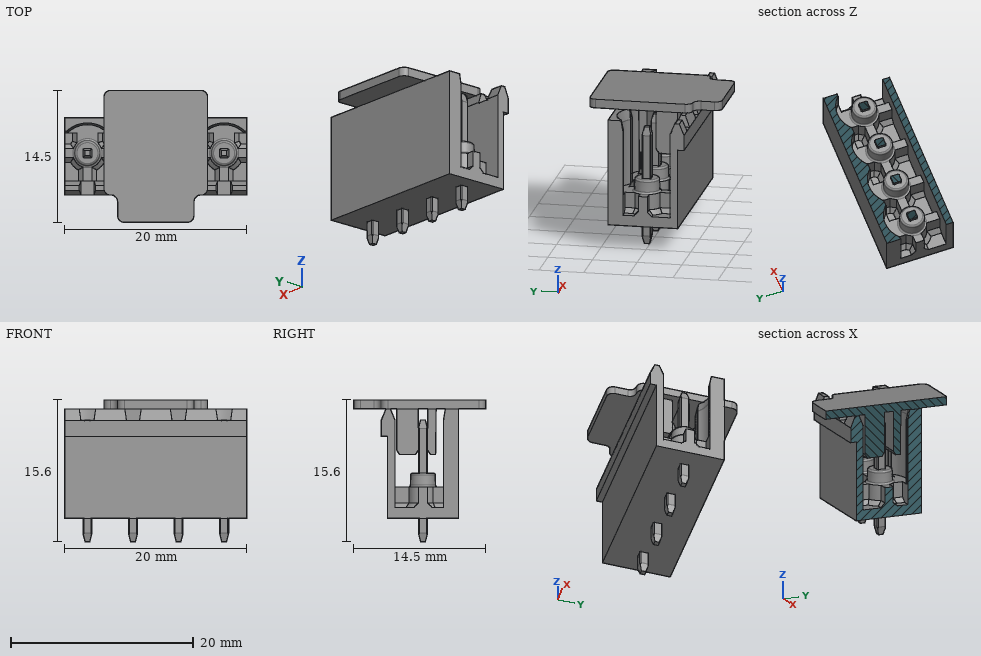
import cadquery as cq
import math

PIN_COUNT = 4
PITCH = 5.0
PIN_XS = [(i - (PIN_COUNT - 1) / 2) * PITCH for i in range(PIN_COUNT)]

LENGTH = PIN_COUNT * PITCH
HEIGHT = 12.0
HALF_DEPTH = 3.9
BACK_INNER_Y = 2.25
FRONT_INNER_Y = -3.05
FLOOR_Z = 1.2

LEAD_IN = 0.2
LEAD_IN_DEPTH = 1.2

HOOK_Y = -4.6
HOOK_BOTTOM_Z = 9.0
HOOK_BEVEL_Z = HEIGHT - 1.28
HOOK_TOP_BACK_Y = -3.55
HOOK_TOP_FRONT_Y = -4.08
SLOT_BOTTOM_WIDTH = 1.42
SLOT_TOP_WIDTH = 1.8

POST_RADIUS = 1.6
POST_TOP_Z = 3.45
SKIRT = 0.5
RIB_WIDTH = 1.0
BACK_RIB_WIDTH = 2.28
COLLAR_BASE_RADIUS = 1.4
COLLAR_RADIUS = 1.35
COLLAR_TOP_Z = 4.95
COLLAR_ROUND = 0.2

RECESS_RADIUS = 3.12
RECESS_WIDTH = 4.2

PIN_WIDTH = 1.02
PIN_CORNER = 0.12
PIN_TIP_WIDTH = 0.55
PIN_TIP_LENGTH = 0.95
PIN_TOP_Z = 10.8
PIN_BOTTOM_Z = -2.58

PLATE_THICKNESS = 1.0
PLATE_HALF_WIDTH = 5.7
PLATE_BACK_Y = 6.9
TAB_HALF_WIDTH = 4.2
TAB_FRONT_Y = -7.6
PLATE_CORNER = (PLATE_HALF_WIDTH - TAB_HALF_WIDTH) / 2
SHOULDER_Y = HOOK_Y
RAIL_LENGTH = 2 * PITCH
RAIL_BOTTOM_Z = 7.0
RAIL_INNER_Y = PIN_WIDTH / 2
FRONT_RAIL_Y = -2.88
BACK_RAIL_TOP_Y = 1.45
BACK_RAIL_BOTTOM_Y = 1.4
RAIL_BEVEL_WIDTH = 0.3
RAIL_BEVEL_HEIGHT = 0.48


def extrude_along_x(outline, length, center_x=0.0):
    """Prism with a (y, z) outline, centred at center_x."""
    plane = cq.Workplane("YZ", origin=(center_x - length / 2, 0, 0))
    return plane.polyline(outline).close().extrude(length)


def extrude_along_y(outline, center_x, y_min, y_max):
    """Prism with an (x, z) outline around center_x, running from y_min to y_max."""
    plane = cq.Workplane("XZ", origin=(center_x, y_max, 0))
    return plane.polyline(outline).close().extrude(y_max - y_min)


def make_trough():
    lead_in_z = HEIGHT - LEAD_IN_DEPTH
    outline = [
        (HALF_DEPTH, 0),
        (HALF_DEPTH, HEIGHT),
        (BACK_INNER_Y + LEAD_IN, HEIGHT),
        (BACK_INNER_Y, lead_in_z),
        (BACK_INNER_Y, FLOOR_Z),
        (FRONT_INNER_Y, FLOOR_Z),
        (FRONT_INNER_Y, lead_in_z),
        (HOOK_TOP_BACK_Y, HEIGHT),
        (HOOK_TOP_FRONT_Y, HEIGHT),
        (HOOK_Y, HOOK_BEVEL_Z),
        (HOOK_Y, HOOK_BOTTOM_Z),
        (-HALF_DEPTH, HOOK_BOTTOM_Z),
        (-HALF_DEPTH, 0),
    ]
    return extrude_along_x(outline, LENGTH)


def rib_outline(width):
    """Cross-section of a rib that flares out where it meets the floor."""
    half = width / 2
    return [
        (-half - SKIRT, FLOOR_Z),
        (half + SKIRT, FLOOR_Z),
        (half, FLOOR_Z + SKIRT),
        (half, POST_TOP_Z),
        (-half, POST_TOP_Z),
        (-half, FLOOR_Z + SKIRT),
    ]


def make_post(x):
    """Round post with a flared foot and a slightly drafted collar, rounded on top and filleted below."""
    fillet = POST_RADIUS - COLLAR_BASE_RADIUS
    diagonal = math.sqrt(0.5)
    fillet_mid = (POST_RADIUS - fillet * diagonal, POST_TOP_Z + fillet * (1 - diagonal))
    round_r = COLLAR_RADIUS - COLLAR_ROUND
    round_z = COLLAR_TOP_Z - COLLAR_ROUND
    round_mid = (round_r + COLLAR_ROUND * diagonal, round_z + COLLAR_ROUND * diagonal)
    profile = (
        cq.Workplane("XZ", origin=(x, 0, 0))
        .moveTo(0, FLOOR_Z)
        .lineTo(POST_RADIUS + SKIRT, FLOOR_Z)
        .lineTo(POST_RADIUS, FLOOR_Z + SKIRT)
        .lineTo(POST_RADIUS, POST_TOP_Z)
        .threePointArc(fillet_mid, (COLLAR_BASE_RADIUS, POST_TOP_Z + fillet))
        .lineTo(COLLAR_RADIUS, round_z)
        .threePointArc(round_mid, (round_r, COLLAR_TOP_Z))
        .lineTo(0, COLLAR_TOP_Z)
        .close()
    )
    return profile.revolve(360, (0, 0, 0), (0, 1, 0))


def make_recess(x):
    """Cutter for a round-backed recess with straight sides, widened at the mouth by the lead-in."""
    lead_in_z = HEIGHT - LEAD_IN_DEPTH
    round_part = (
        cq.Workplane("XZ", origin=(x, 0, 0))
        .polyline([
            (0, POST_TOP_Z),
            (RECESS_RADIUS, POST_TOP_Z),
            (RECESS_RADIUS, lead_in_z),
            (RECESS_RADIUS + LEAD_IN, HEIGHT),
            (0, HEIGHT),
        ])
        .close()
        .revolve(360, (0, 0, 0), (0, 1, 0))
    )
    half = RECESS_WIDTH / 2
    sides = [
        (-half, POST_TOP_Z),
        (half, POST_TOP_Z),
        (half, lead_in_z),
        (half + LEAD_IN, HEIGHT),
        (-half - LEAD_IN, HEIGHT),
        (-half, lead_in_z),
    ]
    return round_part.intersect(extrude_along_y(sides, x, BACK_INNER_Y, HALF_DEPTH))


def make_hook_slot(x):
    """Cutter for a tapered slot across the hook."""
    outline = [
        (-SLOT_BOTTOM_WIDTH / 2, HOOK_BEVEL_Z),
        (SLOT_BOTTOM_WIDTH / 2, HOOK_BEVEL_Z),
        (SLOT_TOP_WIDTH / 2, HEIGHT),
        (-SLOT_TOP_WIDTH / 2, HEIGHT),
    ]
    return extrude_along_y(outline, x, HOOK_Y, FRONT_INNER_Y)


def make_pin(x):
    length = PIN_TOP_Z - PIN_BOTTOM_Z
    shaft = (
        cq.Workplane("XY", origin=(x, 0, PIN_BOTTOM_Z))
        .rect(PIN_WIDTH, PIN_WIDTH)
        .extrude(length)
        .edges("|Z")
        .chamfer(PIN_CORNER)
    )
    half = PIN_WIDTH / 2
    tip_half = PIN_TIP_WIDTH / 2
    pointed = [
        (-tip_half, PIN_BOTTOM_Z),
        (tip_half, PIN_BOTTOM_Z),
        (half, PIN_BOTTOM_Z + PIN_TIP_LENGTH),
        (half, PIN_TOP_Z - PIN_TIP_LENGTH),
        (tip_half, PIN_TOP_Z),
        (-tip_half, PIN_TOP_Z),
        (-half, PIN_TOP_Z - PIN_TIP_LENGTH),
        (-half, PIN_BOTTOM_Z + PIN_TIP_LENGTH),
    ]
    taper_x = extrude_along_y(pointed, x, -half, half)
    taper_y = extrude_along_x(pointed, PIN_WIDTH, x)
    return shaft.intersect(taper_x).intersect(taper_y)


def make_housing(pins):
    body = make_trough()
    body = body.union(extrude_along_x(rib_outline(RIB_WIDTH), LENGTH))
    for x in PIN_XS:
        body = body.union(extrude_along_y(rib_outline(RIB_WIDTH), x, FRONT_INNER_Y, 0))
        body = body.union(extrude_along_y(rib_outline(BACK_RIB_WIDTH), x, 0, BACK_INNER_Y))
    for x in PIN_XS:
        body = body.cut(make_recess(x))
        body = body.union(make_post(x))
        body = body.cut(make_hook_slot(x))
    for pin in pins:
        body = body.cut(pin)
    return body


def make_plate():
    half, tab, r = PLATE_HALF_WIDTH, TAB_HALF_WIDTH, PLATE_CORNER
    outline = (
        cq.Workplane("XY", origin=(0, 0, HEIGHT))
        .moveTo(0, PLATE_BACK_Y)
        .lineTo(half - r, PLATE_BACK_Y)
        .radiusArc((half, PLATE_BACK_Y - r), r)
        .lineTo(half, SHOULDER_Y + r)
        .radiusArc((half - r, SHOULDER_Y), r)
        .radiusArc((tab, SHOULDER_Y - r), -r)
        .lineTo(tab, TAB_FRONT_Y + r)
        .radiusArc((tab - r, TAB_FRONT_Y), r)
        .lineTo(0, TAB_FRONT_Y)
        .mirrorY()
    )
    return outline.extrude(PLATE_THICKNESS)


def make_cap():
    """Plate with a front and a back rail hanging from it, bevelled where they lead onto the pins."""
    bevel_z = RAIL_BOTTOM_Z + RAIL_BEVEL_HEIGHT
    front_rail = [
        (FRONT_RAIL_Y, HEIGHT),
        (FRONT_RAIL_Y, bevel_z),
        (FRONT_RAIL_Y + RAIL_BEVEL_WIDTH, RAIL_BOTTOM_Z),
        (-RAIL_INNER_Y - RAIL_BEVEL_WIDTH, RAIL_BOTTOM_Z),
        (-RAIL_INNER_Y, bevel_z),
        (-RAIL_INNER_Y, HEIGHT),
    ]
    back_rail = [
        (RAIL_INNER_Y, HEIGHT),
        (RAIL_INNER_Y, bevel_z),
        (RAIL_INNER_Y + RAIL_BEVEL_WIDTH, RAIL_BOTTOM_Z),
        (BACK_RAIL_BOTTOM_Y, RAIL_BOTTOM_Z),
        (BACK_RAIL_TOP_Y, HEIGHT),
    ]
    cap = make_plate()
    for outline in (front_rail, back_rail):
        cap = cap.union(extrude_along_x(outline, RAIL_LENGTH))
    return cap


pins = [make_pin(x) for x in PIN_XS]
housing = make_housing(pins)
cap = make_cap()

result = cq.Compound.makeCompound([housing.val(), cap.val(), *[pin.val() for pin in pins]])